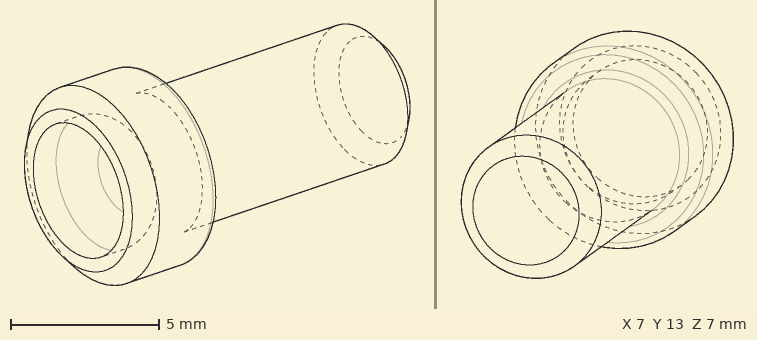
import cadquery as cq

length = 13.0
head_diameter = 7.0
head_height = 3.25
shank_diameter = 4.95

head_chamfer = 0.65
tip_chamfer = 0.6
head_back_fillet = 0.25
neck_fillet = 0.25

recess_diameter = 4.75
recess_depth = 2.0
recess_floor_fillet = 1.0


def cylinder_along_y(diameter, start, height):
    """Cylinder on the Y axis from y = start to y = start + height."""
    plane = cq.Workplane("XZ", origin=(0, start, 0))
    return plane.circle(diameter / 2).extrude(-height)


def make_head():
    head = cylinder_along_y(head_diameter, 0, head_height)
    head = head.faces("<Y").edges().chamfer(head_chamfer)
    return head.faces(">Y").edges().fillet(head_back_fillet)


def make_shank():
    shank = cylinder_along_y(shank_diameter, head_height, length - head_height)
    return shank.faces(">Y").edges().chamfer(tip_chamfer)


def make_recess():
    recess = cylinder_along_y(recess_diameter, 0, recess_depth)
    return recess.faces(">Y").edges().fillet(recess_floor_fillet)


body = make_head().union(make_shank())
neck_radius = shank_diameter / 2
neck_edge = cq.selectors.RadiusNthSelector(0)
neck_zone = cq.selectors.BoxSelector(
    (-neck_radius, head_height - neck_fillet, -neck_radius),
    (neck_radius, head_height + neck_fillet, neck_radius),
)
body = body.edges("%CIRCLE").edges(neck_zone).edges(neck_edge).fillet(neck_fillet)

result = body.cut(make_recess())